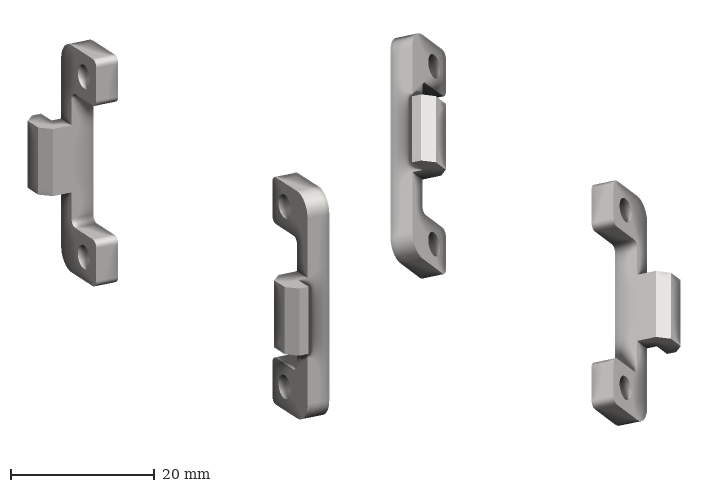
import cadquery as cq

OVERALL_LENGTH = 76.0
BRACKET_HEIGHT = 34.0
PLATE_THICKNESS = 3.5
SPINE_WIDTH = 3.0
PLATE_WIDTH = 9.95
ARM_HEIGHT = 7.0
OUTER_RADIUS = 3.0
SMALL_RADIUS = 1.0
HOLE_DIAMETER = 3.5
HOLE_TO_TIP = 3.5

HOOK_HEIGHT = 10.0
HOOK_OVERHANG = 3.05
HOOK_NECK = 1.5
HOOK_LIP = 3.0
HOOK_CHAMFER = 1.5

hook_tip_x = -OVERALL_LENGTH / 2
spine_outer_x = hook_tip_x + HOOK_OVERHANG
spine_inner_x = spine_outer_x + SPINE_WIDTH
arm_tip_x = spine_outer_x + PLATE_WIDTH
hole_x = arm_tip_x - HOLE_TO_TIP

slot_height = BRACKET_HEIGHT - 2 * ARM_HEIGHT
hole_z = (BRACKET_HEIGHT - ARM_HEIGHT) / 2

hook_back_y = -HOOK_NECK
hook_front_y = hook_back_y - HOOK_LIP


def make_block(left_x, right_x, height, left_radius):
    """Plate-thick rectangular block centred on Z = 0, with its two left corners rounded."""
    return (
        cq.Workplane("XZ")
        .center((left_x + right_x) / 2, 0)
        .rect(right_x - left_x, height)
        .extrude(-PLATE_THICKNESS)
        .edges("|Y and <X")
        .fillet(left_radius)
    )


def make_plate():
    """C-shaped plate with rounded corners and a through hole in each arm."""
    blank = make_block(spine_outer_x, arm_tip_x, BRACKET_HEIGHT, OUTER_RADIUS)
    slot = make_block(spine_inner_x, arm_tip_x, slot_height, SMALL_RADIUS)
    plate = blank.cut(slot).edges("|Y and >X").fillet(SMALL_RADIUS)
    holes = (
        cq.Workplane("XZ")
        .pushPoints([(hole_x, -hole_z), (hole_x, hole_z)])
        .circle(HOLE_DIAMETER / 2)
        .extrude(-PLATE_THICKNESS)
    )
    return plate.cut(holes)


def make_hook():
    """L-shaped hook with a chamfered nose, standing on the front of the spine."""
    profile = [
        (spine_inner_x, 0),
        (spine_outer_x, 0),
        (spine_outer_x, hook_back_y),
        (hook_tip_x, hook_back_y),
        (hook_tip_x, hook_front_y + HOOK_CHAMFER),
        (hook_tip_x + HOOK_CHAMFER, hook_front_y),
        (spine_inner_x - HOOK_CHAMFER, hook_front_y),
        (spine_inner_x, hook_front_y + HOOK_CHAMFER),
    ]
    return cq.Workplane("XY").polyline(profile).close().extrude(HOOK_HEIGHT / 2, both=True)


def make_bracket():
    """One bracket: plate and hook as a single solid."""
    return make_plate().union(make_hook())


brackets = []
for mirrored in (False, True):
    bracket = make_bracket()
    if mirrored:
        bracket = bracket.mirror("YZ")
    brackets.append(bracket.solids().val())

result = cq.Compound.makeCompound(brackets)